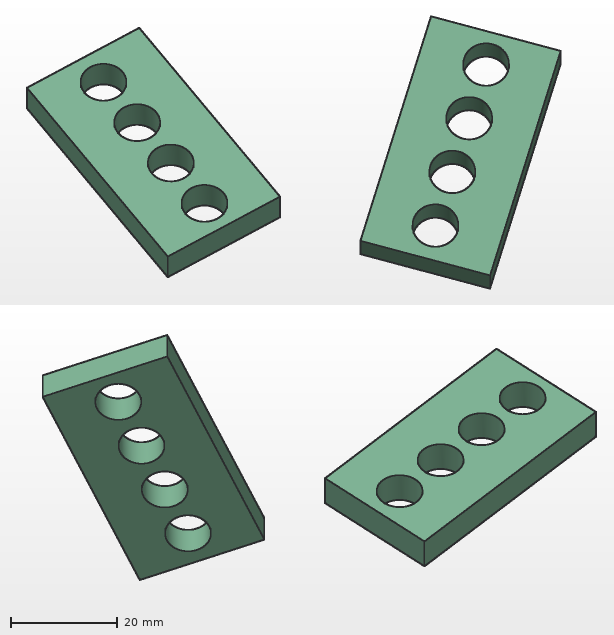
import cadquery as cq

length = 47.75
width = 25.4
thickness = 6.5

hole_diameter = 8.65
hole_count = 4
hole_pitch = 11.4
first_hole_from_end = 6.9

first_hole_x = first_hole_from_end - length / 2
hole_centres = [(first_hole_x + i * hole_pitch, 0) for i in range(hole_count)]

plate = cq.Workplane("XY").box(length, width, thickness)

result = plate.faces(">Z").workplane().pushPoints(hole_centres).hole(hole_diameter)